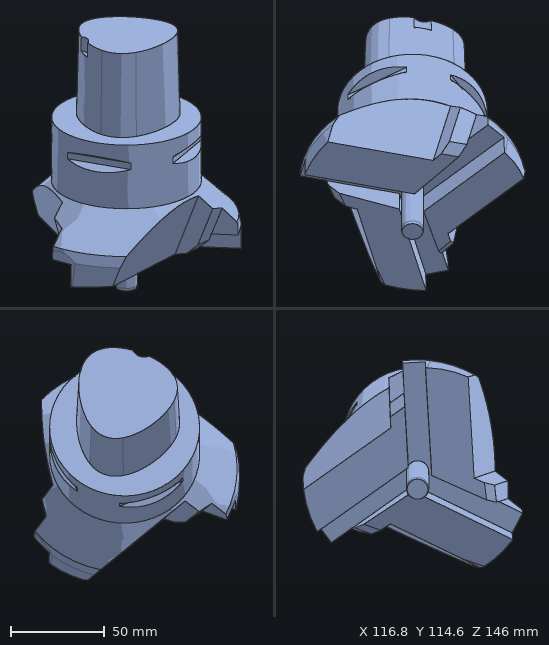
import cadquery as cq
import math

total_height = 146.0
pin_bottom = -21.6
shank_top = pin_bottom + total_height
collar_top = 76.5
collar_bottom = 39.9
cone_bottom = 20.5
rim_bottom = 14.3

collar_radius = 80.0 / 2
cone_radius = 60.0
head_radius = 61.3

pin_radius = 12.0 / 2
pin_chamfer_height = 1.8
pin_chamfer_width = 0.5

shank_radius = 27.5
lobe_height = 2.0
taper = 1 / 40
lobe_half_angle = math.radians(24)
key_radius = 6.4
key_depth = 8.2
key_center_y = -28.5

groove_center_z = 64.2
groove_floor_distance = 35.5
groove_floor_width = 3.6
groove_flank_angle = math.radians(30)

blade_angles = (0, 123.0, 243.0)
blade_back_angle = 270
floor_top_distance = 41.6
floor_slope = 0.318
step_turn = 147
step_depth = 8.2
step_bend_z = 9.5
wall_y = 12.7
rake_y = 4.7
notch_back_y = -7.6
notch_top = 13.0
flat_upper_distance = 60.5
flat_lower_distance = 60.7
relief_start = 5.8
relief_slope = math.tan(math.radians(8.5))

reach = 102.2
clearance = 7.3


def turned_body():
    profile = [
        (0, 0),
        (head_radius, 0),
        (head_radius, rim_bottom),
        (cone_radius, cone_bottom),
        (collar_radius, collar_bottom),
        (collar_radius, collar_top),
        (0, collar_top),
    ]
    return cq.Workplane("XZ").polyline(profile).close().revolve(360, (0, 0), (0, 1))


def lobe_point(angle, radius):
    """Point on the three-lobed curve, with one lobe toward +Y."""
    along = radius * math.cos(angle) + lobe_height * math.cos(2 * angle)
    across = radius * math.sin(angle) - lobe_height * math.sin(2 * angle)
    return (-across, along)


def shank_section(z, radius):
    breaks = []
    for lobe in range(3):
        lobe_angle = lobe * 2 * math.pi / 3
        breaks += [lobe_angle - lobe_half_angle, lobe_angle + lobe_half_angle]
    breaks.append(breaks[0] + 2 * math.pi)

    edges = []
    steps = 8
    for start, end in zip(breaks, breaks[1:]):
        angles = [start + (end - start) * i / steps for i in range(steps + 1)]
        points = [cq.Vector(*lobe_point(angle, radius), z) for angle in angles]
        edges.append(cq.Edge.makeSpline(points))
    return cq.Wire.assembleEdges(edges)


def shank():
    top_radius = shank_radius - taper * (shank_top - collar_top)
    bottom = shank_section(collar_top, shank_radius)
    top = shank_section(shank_top, top_radius)
    solid = cq.Workplane(obj=cq.Solid.makeLoft([bottom, top], True))
    key = (
        cq.Workplane("XY", origin=(0, key_center_y, shank_top - key_depth))
        .circle(key_radius)
        .extrude(key_depth)
    )
    return solid.cut(key)


def pin():
    profile = [
        (0, pin_bottom),
        (pin_radius - pin_chamfer_width, pin_bottom),
        (pin_radius, pin_bottom + pin_chamfer_height),
        (pin_radius, notch_top + clearance),
        (0, notch_top + clearance),
    ]
    return cq.Workplane("XZ").polyline(profile).close().revolve(360, (0, 0), (0, 1))


def gripper_groove(angle):
    outer = collar_radius + clearance
    inner_half = groove_floor_width / 2
    outer_half = inner_half + (outer - groove_floor_distance) * math.tan(groove_flank_angle)
    profile = [
        (groove_floor_distance, groove_center_z - inner_half),
        (outer, groove_center_z - outer_half),
        (outer, groove_center_z + outer_half),
        (groove_floor_distance, groove_center_z + inner_half),
    ]
    cutter = cq.Workplane("XZ").polyline(profile).close().extrude(collar_radius, both=True)
    return cutter.rotate((0, 0, 0), (0, 0, 1), angle)


def side_prism(profile, turn):
    """Extrude a (distance, height) profile sideways and turn it about Z."""
    solid = cq.Workplane("XZ").polyline(profile).close().extrude(reach, both=True)
    return solid.rotate((0, 0, 0), (0, 0, 1), turn)


def beyond(y):
    """Space in front of a blade wall at the given Y."""
    return cq.Workplane("XY").box(
        4 * reach, 2 * reach, 4 * reach).translate((0, y + reach, 0))


def floor_distance(z):
    return floor_top_distance - floor_slope * (collar_bottom - z)


def gullet(turn):
    main_floor = side_prism([
        (floor_distance(-clearance), -clearance),
        (reach, -clearance),
        (reach, collar_bottom),
        (floor_distance(collar_bottom), collar_bottom),
    ], turn)
    bend = floor_distance(step_bend_z) + step_depth
    step_floor = side_prism([
        (bend - step_bend_z, 0),
        (reach, 0),
        (reach, collar_bottom),
        (floor_distance(collar_bottom) + step_depth, collar_bottom),
        (bend, step_bend_z),
    ], step_turn)
    return main_floor.intersect(beyond(wall_y)).union(step_floor.intersect(beyond(rake_y)))


def bottom_relief(turn):
    wedge = side_prism([
        (relief_start, 0),
        (reach, (reach - relief_start) * relief_slope),
        (reach, -clearance),
        (relief_start, -clearance),
    ], turn)
    return wedge.intersect(beyond(rake_y))


def insert_notch():
    width = rake_y - notch_back_y
    return cq.Workplane("XY").box(
        reach, width, notch_top, centered=False).translate((-reach, notch_back_y, 0))


def tip_flat():
    lean = (flat_lower_distance - flat_upper_distance) / rim_bottom
    profile = [
        (-flat_lower_distance, 0),
        (-flat_lower_distance + lean * collar_bottom, collar_bottom),
        (-reach, collar_bottom),
        (-reach, 0),
    ]
    half_length = head_radius / 2
    return cq.Workplane("XZ").polyline(profile).close().extrude(half_length, both=True)


body = turned_body()
for index, blade_angle in enumerate(blade_angles):
    floor_turn = blade_back_angle + blade_angles[index - 1] - blade_angle
    for cutter in (gullet(floor_turn), bottom_relief(floor_turn), insert_notch(), tip_flat()):
        body = body.cut(cutter.rotate((0, 0, 0), (0, 0, 1), blade_angle))

for groove_angle in (45, 135, 225, 315):
    body = body.cut(gripper_groove(groove_angle))

result = body.union(shank()).union(pin())